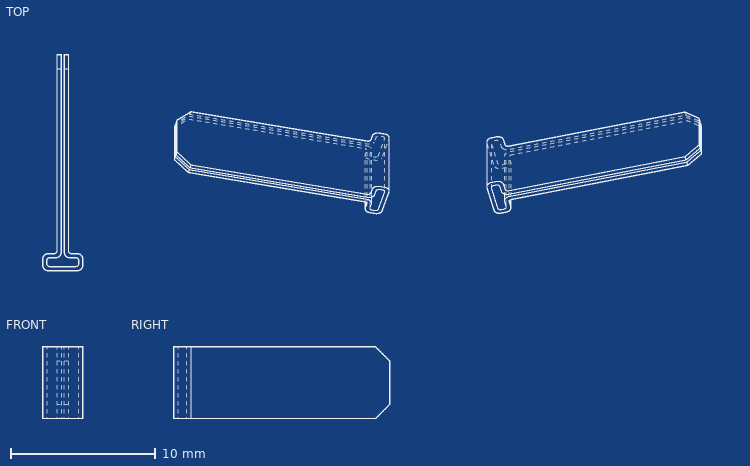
import cadquery as cq

TOTAL_LENGTH = 15.0
STRIP_WIDTH = 5.0
HEAD_WIDTH = 2.8
HEAD_DEPTH = 1.2

THICKNESS = 0.3
LEG_GAP = 0.2
OUTER_BEND_RADIUS = 0.4
INNER_BEND_RADIUS = 0.2

TIP_CHAMFER = 1.0

LEG_INNER_X = LEG_GAP / 2
LEG_OUTER_X = LEG_INNER_X + THICKNESS
HEAD_OUTER_X = HEAD_WIDTH / 2
HEAD_INNER_X = HEAD_OUTER_X - THICKNESS
CAVITY_FRONT_Y = THICKNESS
CAVITY_BACK_Y = HEAD_DEPTH - THICKNESS


def mirrored_outline(right_half):
    """Complete an outline with the reflection of its right half about X = 0."""
    left_half = [(-x, y) for x, y in reversed(right_half)]
    return right_half + left_half


def extruded_prism(points):
    """Extrude a closed XY outline over the strip width, centred on Z = 0."""
    return cq.Workplane("XY").polyline(points).close().extrude(STRIP_WIDTH / 2, both=True)


def round_edges(body, corners, radius):
    """Round the Z-direction edges at the given XY corners and at their mirror images."""
    for x, y in mirrored_outline(corners):
        body = body.edges(cq.selectors.NearestToPointSelector((x, y, 0))).fillet(radius)
    return body


def t_shape(head_x, front_y, back_y, leg_x):
    """Sharp-cornered T prism: a wide head with a straight stem reaching the leg tips."""
    right_half = [(head_x, front_y), (head_x, back_y), (leg_x, back_y), (leg_x, TOTAL_LENGTH)]
    return extruded_prism(mirrored_outline(right_half))


def outer_envelope():
    body = t_shape(HEAD_OUTER_X, 0, HEAD_DEPTH, LEG_OUTER_X)
    body = round_edges(body, [(HEAD_OUTER_X, 0), (HEAD_OUTER_X, HEAD_DEPTH)], OUTER_BEND_RADIUS)
    return round_edges(body, [(LEG_OUTER_X, HEAD_DEPTH)], INNER_BEND_RADIUS)


def inner_space():
    """Hollow of the head together with the gap between the two legs."""
    body = t_shape(HEAD_INNER_X, CAVITY_FRONT_Y, CAVITY_BACK_Y, LEG_INNER_X)
    head_corners = [(HEAD_INNER_X, CAVITY_FRONT_Y), (HEAD_INNER_X, CAVITY_BACK_Y)]
    body = round_edges(body, head_corners, INNER_BEND_RADIUS)
    return round_edges(body, [(LEG_INNER_X, CAVITY_BACK_Y)], OUTER_BEND_RADIUS)


def side_profile():
    """Block with the side outline of the strip: a rectangle with cut corners at the tips."""
    block = cq.Workplane("XY").box(HEAD_WIDTH, TOTAL_LENGTH, STRIP_WIDTH)
    block = block.edges(">Y and |X").chamfer(TIP_CHAMFER)
    return block.translate((0, TOTAL_LENGTH / 2, 0))


result = outer_envelope().cut(inner_space()).intersect(side_profile())